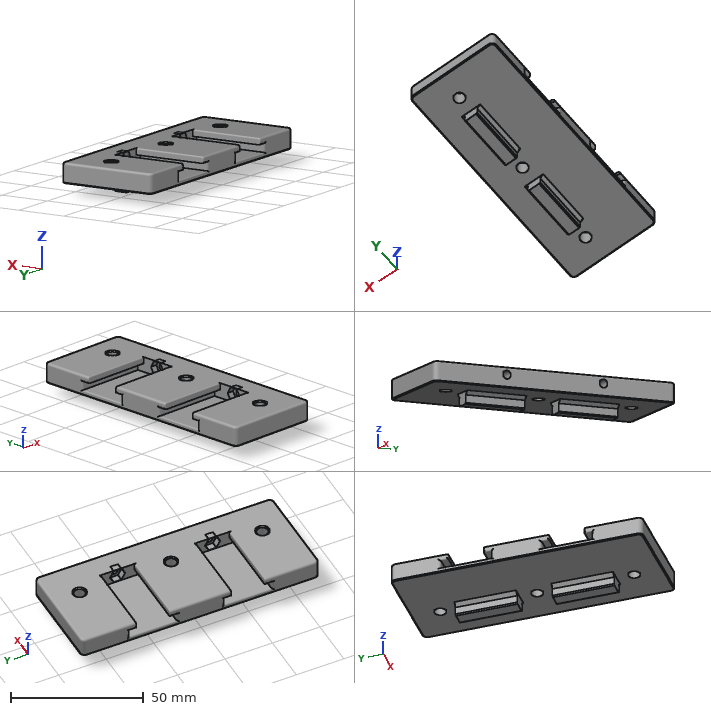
import cadquery as cq
import math

plate_width = 40.0
plate_length = 100.0
plate_height = 8.0
corner_radius = 2.0
top_fillet = 1.0
bottom_chamfer = 0.4

mount_x = 5.0
mount_hole_diameter = 4.6
mount_hole_chamfer = 0.5
mount_hole_pitch = 38.5

rail_width = 5.8
rail_length = 24.5
rail_height = 5.0
rail_flare = 1.5
rail_chamfer = 0.5

slot_pitch = 40.0
slot_end_x = 10.0
slot_depth = 6.0
slot_wide = 20.0
slot_narrow = 14.0
lip_thickness = 2.6
slot_fillet = 0.6
side_fillet = 1.0

screw_diameter = 3.2
screw_depth_below_top = 3.0
nut_across_flats = 5.5
nut_across_corners = nut_across_flats / math.cos(math.radians(30))
nut_depth = 2.9

half_width = plate_width / 2
slot_length = slot_end_x + half_width

select_margin = 0.1


def make_plate():
    """Plate with rounded corners, a rounded top rim and a chamfered bottom rim."""
    plate = cq.Workplane("XY").box(plate_width, plate_length, plate_height, centered=(True, True, False))
    plate = plate.edges("|Z").fillet(corner_radius)
    plate = plate.faces("<Z").edges().chamfer(bottom_chamfer)
    return plate.faces(">Z").edges().fillet(top_fillet)


def cut_slot(body, slot_y):
    """Cut a T-slot: a wide channel under two lips with a narrower opening between them."""
    floor_z = plate_height - slot_depth
    lip_z = plate_height - lip_thickness
    wide = cq.Workplane("XY").box(slot_length, slot_wide, lip_z - floor_z, centered=(False, True, False))
    narrow = cq.Workplane("XY").box(slot_length, slot_narrow, slot_depth, centered=(False, True, False))
    slot = wide.union(narrow).translate((-half_width, slot_y, floor_z))
    return body.cut(slot)


def select_mouth(slot_y, top_z):
    """Select the T-slot's edges that lie in the -X side of the plate, up to top_z."""
    reach = slot_wide / 2 + select_margin
    floor_z = plate_height - slot_depth
    return cq.selectors.BoxSelector(
        (-half_width - select_margin, slot_y - reach, floor_z - select_margin),
        (-half_width + select_margin, slot_y + reach, top_z),
    )


def select_lips(slot_y):
    """Select the upper edges of the T-slot's two lips."""
    reach = slot_narrow / 2 + select_margin
    return cq.selectors.BoxSelector(
        (-half_width, slot_y - reach, plate_height - select_margin),
        (slot_end_x - select_margin, slot_y + reach, plate_height + select_margin),
    )


def round_slot_edges(body, slot_y):
    """Round the side edges of the T-slot's mouth, then the rest of the mouth and its lips."""
    lip_z = plate_height - lip_thickness
    sides = select_mouth(slot_y, lip_z + select_margin)
    body = body.edges(sides).edges("|Z").fillet(side_fillet)
    rest = select_mouth(slot_y, plate_height - select_margin) + select_lips(slot_y)
    return body.edges(rest).fillet(slot_fillet)


def cut_screw_and_nut(body, slot_y):
    """Cut the nut pocket into the slot's end wall and the screw hole on through to +X."""
    screw_z = plate_height - screw_depth_below_top
    wall = cq.Workplane("YZ", origin=(slot_end_x, slot_y, screw_z))
    screw = wall.circle(screw_diameter / 2).extrude(half_width - slot_end_x)
    nut = wall.polygon(6, nut_across_corners).extrude(nut_depth)
    return body.cut(screw).cut(nut)


def make_rail(rail_y):
    """Rail with 45-degree flares against the plate and chamfered lower edges."""
    half = rail_width / 2
    outline = [
        (half + rail_flare, 0),
        (half, -rail_flare),
        (half, rail_chamfer - rail_height),
        (half - rail_chamfer, -rail_height),
    ]
    mirrored = [(-x, z) for x, z in reversed(outline)]
    rail = cq.Workplane("XZ").polyline(outline + mirrored).close().extrude(rail_length / 2, both=True)
    return rail.translate((mount_x, rail_y, 0))


def cut_mount_hole(body, hole_y):
    """Cut a through hole with a chamfered upper rim."""
    radius = mount_hole_diameter / 2
    hole = cq.Workplane("XY").circle(radius).extrude(plate_height)
    rim_outline = [
        (0, plate_height),
        (radius + mount_hole_chamfer, plate_height),
        (radius, plate_height - mount_hole_chamfer),
        (0, plate_height - mount_hole_chamfer),
    ]
    rim = cq.Workplane("XZ").polyline(rim_outline).close().revolve(360, (0, 0), (0, 1))
    return body.cut(hole.union(rim).translate((mount_x, hole_y, 0)))


slot_centers = (-slot_pitch / 2, slot_pitch / 2)
rail_centers = (-mount_hole_pitch / 2, mount_hole_pitch / 2)
hole_centers = (-mount_hole_pitch, 0, mount_hole_pitch)

result = make_plate()
for y in slot_centers:
    result = cut_slot(result, y)
    result = round_slot_edges(result, y)
    result = cut_screw_and_nut(result, y)
for y in rail_centers:
    result = result.union(make_rail(y))
for y in hole_centers:
    result = cut_mount_hole(result, y)